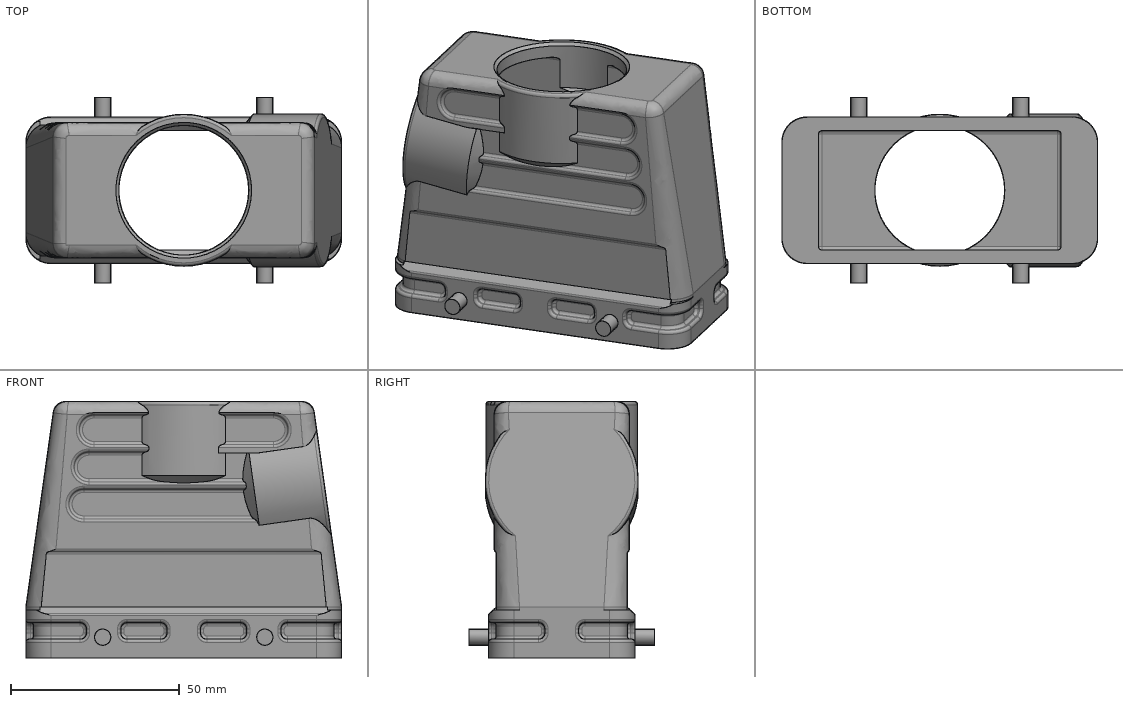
import math

import cadquery as cq

base_length = 93.51
base_width = 43.4
base_height = 15.1
base_corner_radius = 7.5
skirt_chamfer_height = 2.15
skirt_chamfer_round = 0.75
corner_ledge_z = 14.2
corner_ledge_start_x = 42.5

total_height = 76.0
end_taper = 8.0
body_width = 40.0
body_top_corner_radius = 4.0
top_round = 3.8
lower_panel_width = 38.8
lower_panel_step_bottom = 30.8
lower_panel_step_top = 32.3

skirt_groove_z = 8.05
skirt_groove_height = 4.9
skirt_groove_depth = 2.3
skirt_groove_corner_radius = 1.9
skirt_groove_round = 0.95
skirt_slot_x = 11.8
skirt_slot_length = 13.7
corner_groove_start_x = 28.8
corner_groove_start_y = 5.0

grip_depth = 1.2
grip_wall_angle = 25.0
grip_round = 1.0
grip_height = 9.35
grip_pitch = 11.0
grip_top_z = 67.6
grip_top_center_x = 26.5
grip_count = 3
trimmed_grip = 1
trimmed_grip_top_z = 60.8

boss_radius = 22.5
boss_edge_round = 1.0
boss_cone_angle = 40.0
boss_cone_depth = 4.6
top_boss_bottom_z = 54.1
side_boss_radius = 22.65
side_boss_center_z = 52.75
side_boss_length = 20.8

bore_diameter = 38.38
bore_chamfer = 0.9
bore_bottom_z = 61.8
cavity_length = 71.8
cavity_width = 35.3
cavity_top_z = 71.5
cavity_round = 1.0

pin_diameter = 4.8
pin_x = 24.0
pin_z = 6.2
pin_span = 55.0

pick_tolerance = 0.01

taper_slope = math.tan(math.radians(end_taper))
body_rise = total_height - base_height
body_top_length = base_length - 2 * body_rise * taper_slope


def rounded_block(length, width, height, corner_radius):
    """Upright block on z = 0 with rounded vertical edges."""
    block = cq.Workplane("XY").box(length, width, height, centered=(True, True, False))
    return block.edges("|Z").fillet(corner_radius)


def slot_bar(plane, center, length, near, far):
    """Bar with the rounded section of a skirt groove, between two offsets along the plane normal."""
    bar = cq.Workplane(plane).workplane(offset=near).center(center, skirt_groove_z)
    bar = bar.rect(length, skirt_groove_height).extrude(far - near)
    normal = {"XZ": "|Y", "YZ": "|X"}[plane]
    return bar.edges(normal).fillet(skirt_groove_corner_radius)


def depth_under_skirt(point):
    """Distance from a point inward to the upright outer wall of the skirt."""
    over_x = abs(point.x) - base_length / 2 + base_corner_radius
    over_y = abs(point.y) - base_width / 2 + base_corner_radius
    outside = math.hypot(max(over_x, 0), max(over_y, 0))
    return base_corner_radius - outside - min(max(over_x, over_y), 0)


def groove_edges(solid, depth):
    """Edges of the skirt grooves lying at one depth under the outer wall."""
    half_height = skirt_groove_height / 2

    def matches(edge):
        points = [edge.positionAt(t) for t in (0, 0.5, 1)]
        in_depth = all(abs(depth_under_skirt(p) - depth) < pick_tolerance for p in points)
        in_height = all(abs(p.z - skirt_groove_z) < half_height + pick_tolerance for p in points)
        return in_depth and in_height

    return solid.edges().filter(matches)


def skirt_profile():
    """Cross-section of the skirt with its sloping shoulders, swept along X."""
    half_width = base_width / 2
    shoulder_z = base_height - skirt_chamfer_height
    profile = (
        cq.Workplane("YZ")
        .moveTo(-half_width, 0)
        .lineTo(half_width, 0)
        .lineTo(half_width, shoulder_z)
        .lineTo(lower_panel_width / 2, base_height)
        .lineTo(-lower_panel_width / 2, base_height)
        .lineTo(-half_width, shoulder_z)
        .close()
        .extrude(base_length, both=True)
    )
    shoulder_edges = cq.selectors.BoxSelector(
        (-base_length, -base_width, shoulder_z - pick_tolerance),
        (base_length, base_width, shoulder_z + pick_tolerance),
    )
    return profile.edges("|X").edges(shoulder_edges).fillet(skirt_chamfer_round)


def corner_ledge_cut():
    """Material removed from the skirt top around the four rounded body corners."""
    height = base_height - corner_ledge_z
    slab = cq.Workplane("XY").box(base_length, base_width, height, centered=(True, True, False))
    middle_length = 2 * corner_ledge_start_x
    middle = cq.Workplane("XY").box(middle_length, base_width, height, centered=(True, True, False))
    foot = rounded_block(base_length, body_width, height, base_corner_radius)
    return slab.cut(middle).cut(foot).translate((0, 0, corner_ledge_z))


def make_skirt():
    """Straight base band with two slots per broad side and a groove wrapping each corner."""
    skirt = rounded_block(base_length, base_width, base_height, base_corner_radius)
    inset = 2 * skirt_groove_depth
    core = rounded_block(
        base_length - inset, base_width - inset, base_height, base_corner_radius - skirt_groove_depth
    )
    ring = skirt.cut(core)

    half_length = base_length / 2
    half_width = base_width / 2
    corner_x = half_length - base_corner_radius
    corner_y = half_width - base_corner_radius
    bars = cq.Workplane("XY")
    for slot_x in (-skirt_slot_x, skirt_slot_x):
        bars = bars.add(slot_bar("XZ", slot_x, skirt_slot_length, -half_width, half_width))
    run_x = base_length - corner_groove_start_x
    run_y = base_width - corner_groove_start_y
    for sx in (-1, 1):
        for sy in (-1, 1):
            y_limits = sorted((-sy * corner_y, -sy * base_width))
            x_limits = sorted((sx * corner_x, sx * base_length))
            center_x = sx * (corner_groove_start_x + run_x / 2)
            center_y = sy * (corner_groove_start_y + run_y / 2)
            bars = bars.add(slot_bar("XZ", center_x, run_x, *y_limits))
            bars = bars.add(slot_bar("YZ", center_y, run_y, *x_limits))
    for bar in bars.vals():
        skirt = skirt.cut(ring.intersect(cq.Workplane(bar)))

    skirt = groove_edges(skirt, 0).fillet(skirt_groove_round)
    skirt = groove_edges(skirt, skirt_groove_depth).fillet(skirt_groove_round)

    return skirt.intersect(skirt_profile()).cut(corner_ledge_cut())


def make_body():
    """Tapered body whose corner radius shrinks from foot to crown, with a rounded top edge."""
    foot = cq.Sketch().rect(base_length, body_width).vertices().fillet(base_corner_radius)
    crown = cq.Sketch().rect(body_top_length, body_width).vertices().fillet(body_top_corner_radius)
    body = (
        cq.Workplane("XY", origin=(0, 0, base_height))
        .placeSketch(foot, crown.moved(cq.Location(cq.Vector(0, 0, body_rise))))
        .loft(ruled=True)
    )
    return body.faces(">Z").edges().fillet(top_round)


def lower_panel_cut():
    """Shallow recess across the lower part of the +Y side, ending in an S-shaped step."""
    low_y = lower_panel_width / 2
    high_y = body_width / 2
    mid_y = (low_y + high_y) / 2
    mid_z = (lower_panel_step_bottom + lower_panel_step_top) / 2
    return (
        cq.Workplane("YZ")
        .moveTo(low_y, base_height)
        .lineTo(low_y, lower_panel_step_bottom)
        .tangentArcPoint((mid_y, mid_z), relative=False)
        .tangentArcPoint((high_y, lower_panel_step_top), relative=False)
        .lineTo(base_width, lower_panel_step_top)
        .lineTo(base_width, base_height)
        .close()
        .extrude(base_length, both=True)
    )


def grip_groove_cut(center_z, arc_center_x):
    """Round-ended groove of the +Y side with drafted walls, rounded floor and rounded rim."""
    face_y = body_width / 2
    length = 2 * arc_center_x + grip_height
    side = cq.Workplane("XZ", origin=(0, face_y, center_z))
    plug = side.slot2D(length, grip_height).extrude(grip_depth, taper=grip_wall_angle)
    cap = side.rect(2 * length, 2 * grip_height).extrude(-grip_depth)
    plug = plug.faces("<Y").edges().fillet(grip_round)
    plug = cap.union(plug)
    rim = cq.selectors.BoxSelector(
        (-length / 2 - pick_tolerance, face_y - pick_tolerance, center_z - grip_height / 2 - pick_tolerance),
        (length / 2 + pick_tolerance, face_y + pick_tolerance, center_z + grip_height / 2 + pick_tolerance),
    )
    return plug.edges(rim).fillet(grip_round).cut(cap)


def square_off_half(groove, center_z):
    """Give the +X half of a grip groove a lower, sharp-cornered upper wall up to the side boss."""
    above = cq.Workplane("XY", origin=(0, 0, trimmed_grip_top_z))
    above = above.box(base_length, base_width, grip_pitch, centered=False)
    floor_y = body_width / 2 - grip_depth
    sharp_part = cq.Workplane("XY", origin=(0, floor_y, center_z))
    sharp_part = sharp_part.box(grip_top_center_x, grip_depth, trimmed_grip_top_z - center_z, centered=False)
    return groove.cut(above).union(sharp_part)


def make_boss(radius, length):
    """Boss along Z with its rounded rim at z = 0 and a conical underside."""
    cone_tip_radius = radius - boss_cone_depth
    cone_drop = boss_cone_depth * math.tan(math.radians(boss_cone_angle))
    return (
        cq.Workplane("XZ")
        .lineTo(radius - boss_edge_round, 0)
        .radiusArc((radius, -boss_edge_round), boss_edge_round)
        .lineTo(radius, -length)
        .lineTo(cone_tip_radius, -length - cone_drop)
        .lineTo(0, -length - cone_drop)
        .close()
        .revolve(360, (0, 0, 0), (0, 1, 0))
    )


def make_side_boss():
    """Boss square to the sloping +X end wall, trimmed to the body's profile."""
    center_x = base_length / 2 - (side_boss_center_z - base_height) * taper_slope
    boss = make_boss(side_boss_radius, side_boss_length)
    boss = boss.rotate((0, 0, 0), (0, 1, 0), 90 - end_taper)
    boss = boss.translate((center_x, 0, side_boss_center_z))
    envelope = (
        cq.Workplane("XZ")
        .moveTo(-base_length / 2, base_height)
        .lineTo(base_length / 2, base_height)
        .lineTo(body_top_length / 2, total_height)
        .lineTo(-body_top_length / 2, total_height)
        .close()
        .extrude(base_width, both=True)
        .edges("|Y and >Z")
        .fillet(top_round)
    )
    return boss.intersect(envelope)


def make_cavity():
    """Straight inner space, open at the bottom."""
    cavity = cq.Workplane("XY").box(cavity_length, cavity_width, cavity_top_z, centered=(True, True, False))
    return cavity.edges("|Z or >Z").fillet(cavity_round)


def make_bore():
    """Bore with a chamfered rim; it ends in a cone where it bites into the cavity's side walls."""
    radius = bore_diameter / 2
    cone_depth = radius * math.tan(math.radians(boss_cone_angle))
    return (
        cq.Workplane("XZ")
        .moveTo(0, total_height)
        .lineTo(radius + bore_chamfer, total_height)
        .lineTo(radius, total_height - bore_chamfer)
        .lineTo(radius, bore_bottom_z)
        .lineTo(0, bore_bottom_z - cone_depth)
        .close()
        .revolve(360, (0, 0, 0), (0, 1, 0))
    )


def make_pins():
    """Two full-width pins; the cavity later removes their middle."""
    return (
        cq.Workplane("XZ")
        .pushPoints([(-pin_x, pin_z), (pin_x, pin_z)])
        .circle(pin_diameter / 2)
        .extrude(pin_span / 2, both=True)
    )


body = make_body()
side_cuts = [lower_panel_cut()]
for index in range(grip_count):
    drop = index * grip_pitch
    groove_z = grip_top_z - drop
    groove = grip_groove_cut(groove_z, grip_top_center_x + drop * taper_slope)
    if index == trimmed_grip:
        groove = square_off_half(groove, groove_z)
    side_cuts.append(groove)
for side_cut in side_cuts:
    body = body.cut(side_cut).cut(side_cut.mirror("XZ"))

top_boss = make_boss(boss_radius, total_height - top_boss_bottom_z).translate((0, 0, total_height))
hood = make_skirt().union(body).union(top_boss).union(make_side_boss()).union(make_pins())
result = hood.cut(make_cavity()).cut(make_bore())